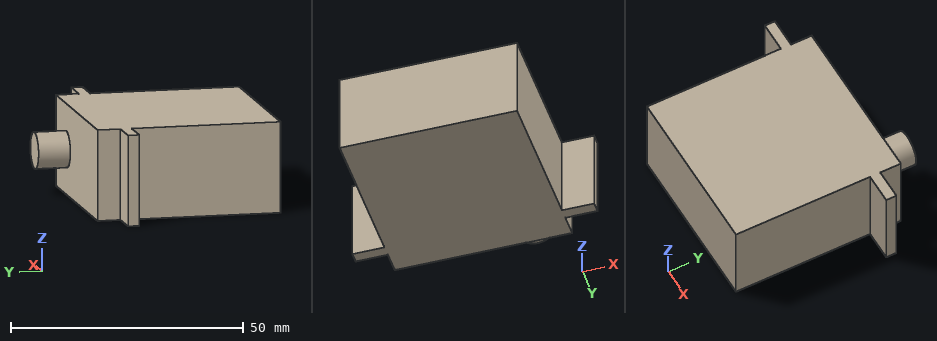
import cadquery as cq

body_width = 40.0
body_length = 40.5
height = 20.0

overall_width = 54.5
tab_thickness = 2.5
tab_setback = 5.05

overall_length = 47.5
shaft_diameter = 8.0
shaft_offset = 10.05


def make_body():
    return cq.Workplane("XY").box(body_width, body_length, height, centered=(True, False, True))


def make_tabs():
    """One plate through the body, whose two ends stand out as tabs."""
    tab_rear = body_length - tab_setback - tab_thickness
    plate = cq.Workplane("XY").box(overall_width, tab_thickness, height, centered=(True, False, True))
    return plate.translate((0, tab_rear, 0))


def make_shaft():
    shaft_length = overall_length - body_length
    return (
        cq.Workplane("XZ", origin=(shaft_offset, body_length, 0))
        .circle(shaft_diameter / 2)
        .extrude(-shaft_length)
    )


result = make_body().union(make_tabs()).union(make_shaft())